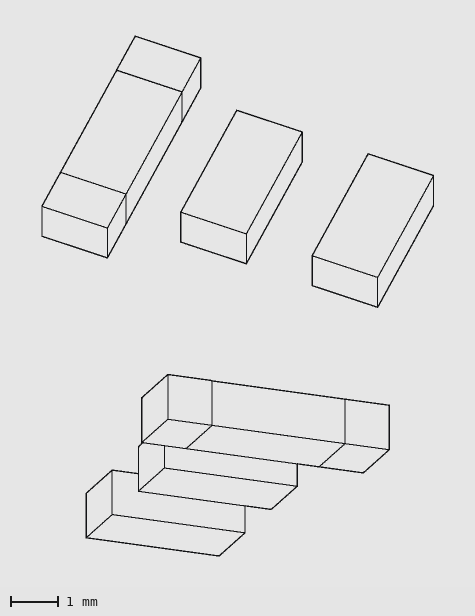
import cadquery as cq

overall_length = 7.25
overall_depth = 5.0
block_width = 1.5
block_depth = 3.0
block_height = 1.0
rear_cap_height = 1.01
block_pitch = 3.0

cap_depth = (overall_depth - block_depth) / 2
last_block_x = overall_length - block_width
block_positions = [0, last_block_x - block_pitch, last_block_x]
rear_cap_y = cap_depth + block_depth


def make_box(x, y, depth, height):
    """Box standing on Z = 0 with its low X, low Y corner at (x, y)."""
    box = cq.Workplane("XY").box(block_width, depth, height, centered=False)
    return box.translate((x, y, 0))


def make_block(x):
    """Long block, set back by one cap depth."""
    return make_box(x, cap_depth, block_depth, block_height)


def make_front_cap():
    """Cap against the -Y end of the first block."""
    return make_box(0, 0, cap_depth, block_height)


def make_rear_cap():
    """Slightly taller cap against the +Y end of the first block."""
    return make_box(0, rear_cap_y, cap_depth, rear_cap_height)


blocks = [make_block(x) for x in block_positions]
front_cap = make_front_cap()
rear_cap = make_rear_cap()

result = cq.Compound.makeCompound([
    *[block.val() for block in blocks],
    front_cap.val(),
    rear_cap.val(),
])